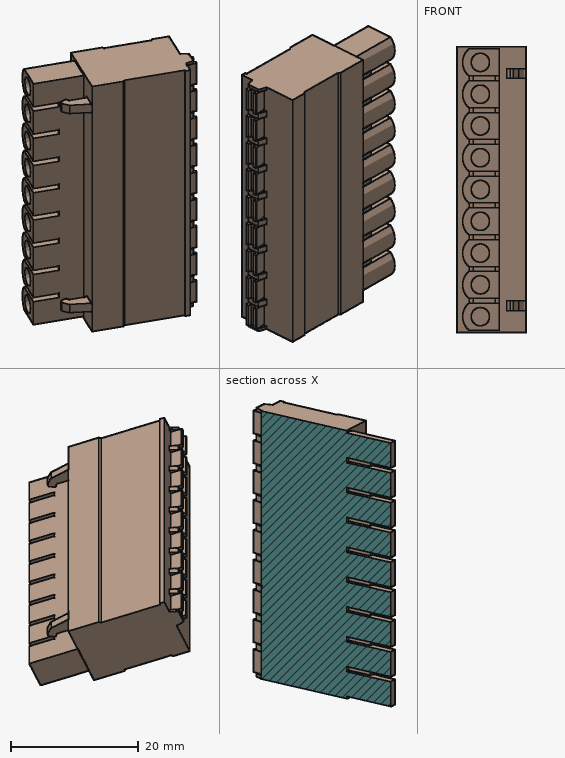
import cadquery as cq
import math

pole_count = 9
length = 45
pitch = length / pole_count
width = 10.9
overall_depth = 26.5
plug_depth = 8.32
key_depth = 1.95
body_depth = overall_depth - plug_depth - key_depth

recess = 0.25
front_band = 5.18
left_rear_band = 2.92
right_rear_band = 0.8
rear_draft = 0.2

plug_height = 4.25
plug_axis_x = 3.7
plug_radius = 2.8
plug_right_x = 6.65
socket_diameter = 2.9
socket_depth = 1.1

rib_depth = 4.05
rib_thickness = 0.65
left_rib_x = 2.0
right_rib_x = plug_right_x - rib_thickness

hook_height = 1.55
hook_end_offset = 3.45
hook_depth = 4.35
hook_left_x = 8.35
hook_right_x = 10.4
hook_root_radius = 0.35
barb_x = 7.88
barb_back_y = -3.35
barb_front_y = -3.55
barb_root_y = -2.92
hook_tip_right_x = 8.85
hook_bevel = [(9.55, -3.65), (9.75, -3.35)]

rail_center_x = 7.15
rail_base_width = 3.1
rail_shoulder_width = 2.48
rail_top_width = 2.15
rail_shoulder = 1.05
rail_depth = 1.35

key_height = 3.8
key_clearance = 0.1
key_slot_top_width = 1.1
key_slot_base_width = 0.85
key_tip_taper = 0.05
key_tip_depth = 0.15

pole_heights = [(i + 0.5) * pitch for i in range(pole_count)]


def prism(outline, bottom, height):
    """Extrude a closed XY outline upwards from the given height."""
    return cq.Workplane("XY", origin=(0, 0, bottom)).polyline(outline).close().extrude(height)


def make_body():
    left_step = body_depth - left_rear_band
    right_step = body_depth - right_rear_band
    outline = [
        (0, 0),
        (width, 0),
        (width, front_band),
        (width - recess, front_band + recess),
        (width - recess, right_step),
        (width, right_step),
        (width, body_depth),
        (0, body_depth),
        (0, left_step + rear_draft / 2),
        (recess, left_step - rear_draft / 2),
        (recess, front_band + recess),
        (0, front_band),
    ]
    return prism(outline, 0, length)


def make_plug(z):
    """Plug with a round left side and a shallow blind socket in its end."""
    half = plug_height / 2
    arc_end_x = plug_axis_x - math.sqrt(plug_radius**2 - half**2)
    plug = (
        cq.Workplane("XZ", origin=(0, 0, z))
        .moveTo(plug_right_x, -half)
        .lineTo(plug_right_x, half)
        .lineTo(arc_end_x, half)
        .threePointArc((plug_axis_x - plug_radius, 0), (arc_end_x, -half))
        .close()
        .extrude(plug_depth)
    )
    socket = (
        cq.Workplane("XZ", origin=(plug_axis_x, -plug_depth, z))
        .circle(socket_diameter / 2)
        .extrude(-socket_depth)
    )
    return plug.cut(socket)


def make_rib(left_x):
    """Rib running from the first plug to the last one."""
    outline = [
        (left_x, 0),
        (left_x, -rib_depth),
        (left_x + rib_thickness, -rib_depth),
        (left_x + rib_thickness, 0),
    ]
    return prism(outline, pole_heights[0], pole_heights[-1] - pole_heights[0])


def make_hook(bottom):
    """Tapered latch arm with a barb on its left side and rounded roots."""
    root = hook_root_radius
    arm = (
        cq.Workplane("XY", origin=(0, 0, bottom))
        .moveTo(hook_left_x - root, 0)
        .radiusArc((hook_left_x, -root), root)
        .lineTo(hook_left_x, barb_root_y)
        .lineTo(barb_x, barb_back_y)
        .lineTo(barb_x, barb_front_y)
        .lineTo(hook_left_x, -hook_depth)
        .lineTo(hook_tip_right_x, -hook_depth)
    )
    for x, y in hook_bevel:
        arm = arm.lineTo(x, y)
    return (
        arm.lineTo(hook_right_x, -root)
        .radiusArc((hook_right_x + root, 0), root)
        .close()
        .extrude(hook_height)
    )


def make_rear_prism(right_half, bottom, height):
    """Rear-face prism mirrored about the rail centre, from (half width, depth) pairs."""
    right = [(rail_center_x + half, body_depth + depth) for half, depth in right_half]
    left = [(rail_center_x - half, body_depth + depth) for half, depth in reversed(right_half)]
    return prism(right + left, bottom, height)


def make_rail():
    """Tapered rail with a gap around every key."""
    profile = [
        (rail_base_width / 2, 0),
        (rail_shoulder_width / 2, rail_shoulder),
        (rail_top_width / 2, rail_depth),
    ]
    rail = make_rear_prism(profile, 0, length)
    gap_profile = [(rail_base_width / 2, 0), (rail_base_width / 2, rail_depth)]
    gap_height = key_height + 2 * key_clearance
    for z in pole_heights:
        rail = rail.cut(make_rear_prism(gap_profile, z - gap_height / 2, gap_height))
    return rail


def make_key(z):
    half = rail_top_width / 2
    profile = [
        (half, 0),
        (half, key_depth - key_tip_depth),
        (half - key_tip_taper, key_depth),
        (key_slot_top_width / 2, key_depth),
        (key_slot_base_width / 2, rail_depth),
    ]
    return make_rear_prism(profile, z - key_height / 2, key_height)


result = make_body().union(make_rail())
for pole_z in pole_heights:
    result = result.union(make_key(pole_z)).union(make_plug(pole_z))
for rib_x in (left_rib_x, right_rib_x):
    result = result.union(make_rib(rib_x))
for hook_z in (hook_end_offset, length - hook_end_offset - hook_height):
    result = result.union(make_hook(hook_z))